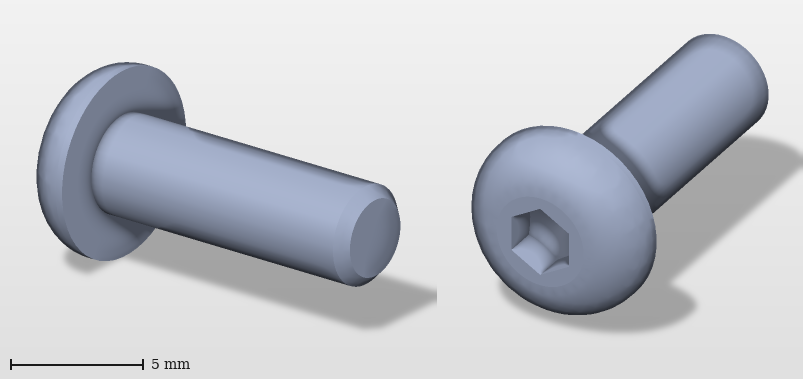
import cadquery as cq
import math

total_length = 14.2
head_diameter = 7.6
head_height = 2.2
rim_width = 0.3
shank_diameter = 4.0
tip_chamfer = 0.45

socket_across_flats = 2.5
socket_depth = 1.3
floor_cone_angle = 120.0

head_radius = head_diameter / 2
shank_radius = shank_diameter / 2
dome_radius = head_height - rim_width
face_radius = head_radius - dome_radius
socket_corner_radius = socket_across_flats / math.sqrt(3)


def screw_body():
    """Revolve the head and shank half-profile about the X axis."""
    dome_offset = dome_radius * math.sqrt(0.5)
    dome_midpoint = (dome_radius - dome_offset, face_radius + dome_offset)
    return (
        cq.Workplane("XY")
        .lineTo(0, face_radius)
        .threePointArc(dome_midpoint, (dome_radius, head_radius))
        .lineTo(head_height, head_radius)
        .lineTo(head_height, shank_radius)
        .lineTo(total_length - tip_chamfer, shank_radius)
        .lineTo(total_length, shank_radius - tip_chamfer)
        .lineTo(total_length, 0)
        .close()
        .revolve(360, (0, 0, 0), (1, 0, 0))
    )


def hex_socket():
    """Hexagonal prism, with corners toward +Z and -Z, ending in a cone."""
    cone_height = socket_corner_radius / math.tan(math.radians(floor_cone_angle / 2))
    prism = (
        cq.Workplane("YZ")
        .transformed(rotate=(0, 0, 90))
        .polygon(6, 2 * socket_corner_radius)
        .extrude(socket_depth + cone_height)
    )
    pointed_envelope = (
        cq.Workplane("XY")
        .lineTo(0, socket_corner_radius)
        .lineTo(socket_depth, socket_corner_radius)
        .lineTo(socket_depth + cone_height, 0)
        .close()
        .revolve(360, (0, 0, 0), (1, 0, 0))
    )
    return prism.intersect(pointed_envelope)


result = screw_body().cut(hex_socket())